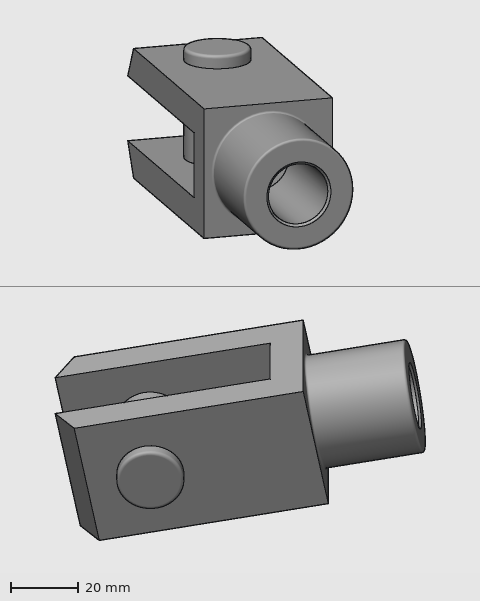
import cadquery as cq
import math

total_length = 105.0
fork_width = 40.0
fork_length = 75.0
slot_height = fork_width / 2
slot_depth = 65.0
tip_angle = 30.0

pin_diameter = 20.0
pin_length = 48.0
pin_x = 25.0
pin_edge_radius = 1.0

shank_diameter = 34.0
shank_end_radius = 0.7
shank_root_radius = 0.6

bore_diameter = 18.5
countersink = 0.7

overlap = 1.0


def make_fork():
    half_width = fork_width / 2
    arm_thickness = (fork_width - slot_height) / 2
    tip_setback = arm_thickness * math.tan(math.radians(tip_angle))
    outline = [
        (0, slot_height / 2),
        (tip_setback, half_width),
        (fork_length, half_width),
        (fork_length, -half_width),
        (tip_setback, -half_width),
        (0, -slot_height / 2),
        (slot_depth, -slot_height / 2),
        (slot_depth, slot_height / 2),
    ]
    return cq.Workplane("XZ").polyline(outline).close().extrude(half_width, both=True)


def make_shank():
    """Round shank with a rounded end and a concave fillet against the fork."""
    radius = shank_diameter / 2
    root_shift = shank_root_radius * (1 - math.sqrt(0.5))
    end_shift = shank_end_radius * (1 - math.sqrt(0.5))
    return (
        cq.Workplane("XY")
        .moveTo(fork_length - overlap, 0)
        .lineTo(fork_length - overlap, radius + shank_root_radius)
        .lineTo(fork_length, radius + shank_root_radius)
        .threePointArc(
            (fork_length + root_shift, radius + root_shift),
            (fork_length + shank_root_radius, radius),
        )
        .lineTo(total_length - shank_end_radius, radius)
        .threePointArc(
            (total_length - end_shift, radius - end_shift),
            (total_length, radius - shank_end_radius),
        )
        .lineTo(total_length, 0)
        .close()
        .revolve(360, (0, 0, 0), (1, 0, 0))
    )


def make_bore():
    radius = bore_diameter / 2
    profile = [
        (slot_depth, 0),
        (slot_depth, radius + countersink),
        (slot_depth + countersink, radius),
        (total_length - countersink, radius),
        (total_length, radius + countersink),
        (total_length, 0),
    ]
    return cq.Workplane("XY").polyline(profile).close().revolve(360, (0, 0, 0), (1, 0, 0))


def make_pin():
    return (
        cq.Workplane("XY")
        .center(pin_x, 0)
        .circle(pin_diameter / 2)
        .extrude(pin_length / 2, both=True)
        .faces("|Z")
        .edges()
        .fillet(pin_edge_radius)
    )


result = make_fork().union(make_shank()).cut(make_bore()).union(make_pin())